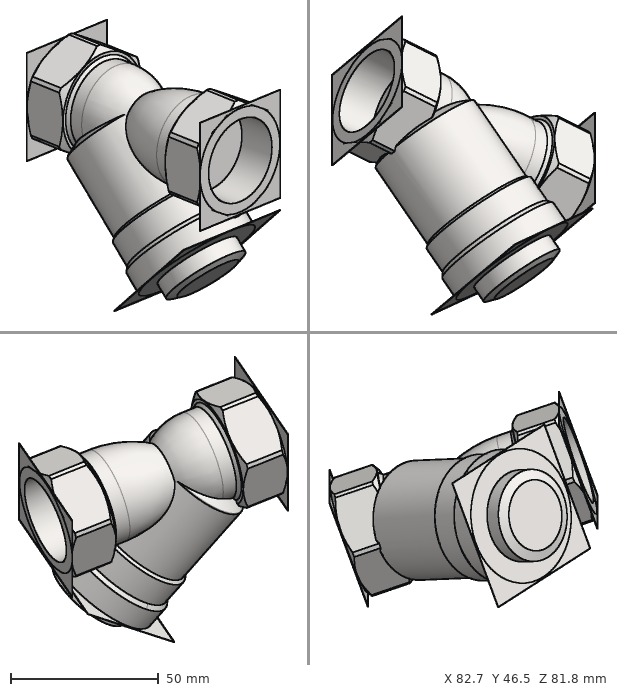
import cadquery as cq
import math

length = 82.65
half_length = length / 2
nut_length = 17.0
nut_flats = 38.2
nut_corners = 43.15
nut_chamfer_length = 1.7
nut_face_radius = 19.0
collar_radius = 17.8
collar_length = 1.3
pipe_radius = 16.7
pipe_end = 17.85
waist_x = -3.1
waist_radius = 11.1
socket_radius = 15.3
socket_depth = 14.3

branch_angle = 45.0
branch_origin_x = -22.9
branch_tip = 6.1
branch_tip_radius = 14.9
branch_cone_end = 8.85
branch_corner_radius = 20.0
branch_chamfer = 0.3
branch_radius = branch_corner_radius + branch_chamfer
step_start = 40.75
step_radius = 21.5
step_rise = 1.0
rim_start = 51.6
rim_radius = 22.8
rim_rise = 1.6
branch_end = 61.8

plate_thickness = 0.2
nut_plate_width = 38.8
nut_plate_height = 40.2
branch_plate_width = 46.45
branch_plate_height = 46.8

plug_radius = 15.6
plug_length = 7.1
plug_chamfer_length = 1.3
plug_face_radius = 12.1

slope = math.radians(branch_angle)
branch_direction = (math.cos(slope), 0, -math.sin(slope))


def branch_plane(station):
    """Plane across the branch axis at a station along it."""
    origin = (
        branch_origin_x + station * branch_direction[0],
        0,
        station * branch_direction[2],
    )
    return cq.Plane(origin=origin, xDir=(0, 1, 0), normal=branch_direction)


def end_plane(side):
    """Plane on a nut's end face, local X along Y and normal into the body; side is -1 or +1."""
    return cq.Plane(origin=(side * half_length, 0, 0), xDir=(0, 1, 0), normal=(-side, 0, 0))


def revolve_about_axis(profile):
    """Revolve a (radius, station) profile about the local Z axis of its plane."""
    return profile.close().revolve(360, (0, 0), (0, 1))


def axial_section(plane):
    """Workplane holding the axis of a plane, with (radius, station) coordinates."""
    return cq.Workplane(cq.Plane(origin=plane.origin, xDir=plane.xDir, normal=-plane.yDir))


def make_nut(side):
    hexagon = (
        cq.Workplane(end_plane(side))
        .polygon(6, nut_flats, circumscribed=True)
        .extrude(nut_length)
    )
    envelope = revolve_about_axis(
        axial_section(end_plane(side))
        .moveTo(0, 0)
        .lineTo(nut_face_radius, 0)
        .lineTo(nut_corners / 2, nut_chamfer_length)
        .lineTo(nut_corners / 2, nut_length - nut_chamfer_length)
        .lineTo(nut_face_radius, nut_length)
        .lineTo(0, nut_length)
    )
    return hexagon.intersect(envelope)


def dome_middle(side):
    """Midpoint of the arc that leaves the straight pipe tangentially and ends at the waist."""
    run = abs(waist_x - side * pipe_end)
    drop = pipe_radius - waist_radius
    radius = (run**2 + drop**2) / (2 * drop)
    half_sweep = math.asin(run / radius) / 2
    x = side * (pipe_end - radius * math.sin(half_sweep))
    return x, pipe_radius - radius * (1 - math.cos(half_sweep))


def make_pipe():
    collar_outer = half_length - nut_length
    collar_inner = collar_outer - collar_length
    return (
        cq.Workplane("XZ")
        .moveTo(-collar_outer, 0)
        .lineTo(-collar_outer, collar_radius)
        .lineTo(-collar_inner, pipe_radius)
        .lineTo(-pipe_end, pipe_radius)
        .threePointArc(dome_middle(-1), (waist_x, waist_radius))
        .threePointArc(dome_middle(1), (pipe_end, pipe_radius))
        .lineTo(collar_inner, pipe_radius)
        .lineTo(collar_outer, collar_radius)
        .lineTo(collar_outer, 0)
        .close()
        .revolve(360, (0, 0), (1, 0))
    )


def make_branch():
    return revolve_about_axis(
        axial_section(branch_plane(0))
        .moveTo(0, branch_tip)
        .lineTo(branch_tip_radius, branch_tip)
        .lineTo(branch_corner_radius, branch_cone_end)
        .lineTo(branch_radius, branch_cone_end + branch_chamfer)
        .lineTo(branch_radius, step_start)
        .lineTo(step_radius, step_start + step_rise)
        .lineTo(step_radius, rim_start)
        .lineTo(rim_radius, rim_start + rim_rise)
        .lineTo(rim_radius, branch_end)
        .lineTo(0, branch_end)
    )


def make_branch_plate():
    return (
        cq.Workplane(branch_plane(branch_end))
        .rect(branch_plate_width, branch_plate_height)
        .extrude(-plate_thickness)
    )


def make_nut_plate(side):
    return (
        cq.Workplane(end_plane(side))
        .rect(nut_plate_width, nut_plate_height)
        .extrude(plate_thickness)
    )


def make_socket(side):
    return cq.Workplane(end_plane(side)).circle(socket_radius).extrude(socket_depth)


def make_body():
    body = make_pipe().union(make_branch()).union(make_branch_plate())
    for side in (-1, 1):
        body = body.union(make_nut(side)).union(make_nut_plate(side))
    for side in (-1, 1):
        body = body.cut(make_socket(side))
    return body


def make_plug():
    return revolve_about_axis(
        axial_section(branch_plane(branch_end))
        .moveTo(0, 0)
        .lineTo(plug_radius, 0)
        .lineTo(plug_radius, plug_length - plug_chamfer_length)
        .lineTo(plug_face_radius, plug_length)
        .lineTo(0, plug_length)
    )


body = make_body()
plug = make_plug()

result = cq.Compound.makeCompound([body.solids().val(), plug.val()])